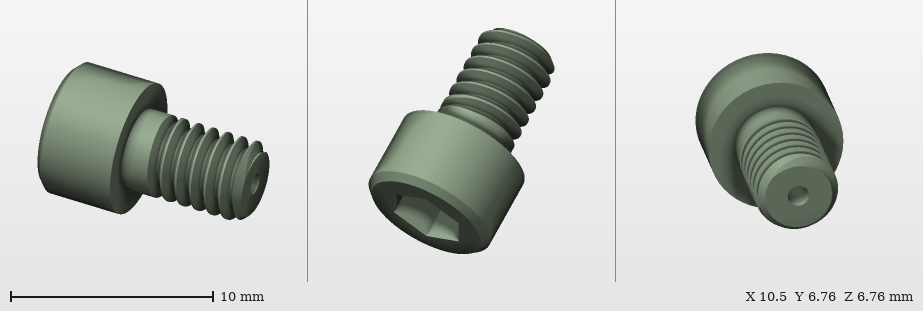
import cadquery as cq
import math

INCH = 25.4

head_diameter = 6.76
head_length = 4.11
head_chamfer = 0.355
socket_across_flats = 9 / 64 * INCH
socket_depth = 2.0

shank_radius = 0.164 * INCH / 2
shank_length = 0.25 * INCH
tip_chamfer = 0.41
vent_diameter = 1.07
screw_length = head_length + shank_length

pitch = INCH / 32
flank_slope = math.tan(math.radians(30))
thread_height = pitch / (2 * flank_slope)
groove_depth = thread_height * 17 / 24
groove_mouth = pitch * 7 / 8
root_width = groove_mouth - 2 * groove_depth * flank_slope
mouth_clearance = 0.03
plain_pitches = 2
full_depth_start = head_length + plain_pitches * pitch
full_depth_turns = round(shank_length / pitch) - plain_pitches + 1
runout_turns = 115 / 360
curve_points_per_turn = 24


def make_head():
    return (
        cq.Workplane("YZ")
        .circle(head_diameter / 2)
        .extrude(head_length)
        .faces("<X")
        .chamfer(head_chamfer)
    )


def make_shank():
    return (
        cq.Workplane("YZ")
        .workplane(offset=head_length)
        .circle(shank_radius)
        .extrude(shank_length)
        .faces(">X")
        .chamfer(tip_chamfer)
    )


def make_socket():
    """Hexagonal prism with flats facing +Y and -Y."""
    across_corners = socket_across_flats / math.cos(math.radians(30))
    return (
        cq.Workplane("YZ")
        .transformed(rotate=(0, 0, 90))
        .polygon(6, across_corners)
        .extrude(socket_depth)
    )


def make_vent():
    return cq.Workplane("YZ").circle(vent_diameter / 2).extrude(screw_length)


def groove_section(turn, depth):
    """Four corners of the groove profile, in the half-plane at the given turn from +Z."""
    angle = 2 * math.pi * turn
    center = full_depth_start + pitch * turn
    root_radius = shank_radius - depth
    mouth_radius = shank_radius + mouth_clearance
    half_root = root_width / 2
    half_mouth = half_root + (mouth_radius - root_radius) * flank_slope
    profile = [
        (-half_mouth, mouth_radius),
        (-half_root, root_radius),
        (half_root, root_radius),
        (half_mouth, mouth_radius),
    ]
    return [
        cq.Vector(center + offset, -radius * math.sin(angle), radius * math.cos(angle))
        for offset, radius in profile
    ]


def make_groove(first_turn, last_turn, first_depth, last_depth):
    """Right-hand helical cutter whose depth changes evenly from end to end."""
    steps = math.ceil((last_turn - first_turn) * curve_points_per_turn)
    sections = []
    for step in range(steps + 1):
        share = step / steps
        turn = first_turn + share * (last_turn - first_turn)
        depth = first_depth + share * (last_depth - first_depth)
        sections.append(groove_section(turn, depth))

    corner_curves = [cq.Edge.makeSpline(list(points)) for points in zip(*sections)]
    next_curves = corner_curves[1:] + corner_curves[:1]
    faces = [cq.Face.makeRuledSurface(a, b) for a, b in zip(corner_curves, next_curves)]
    for end_section in (sections[0], sections[-1]):
        faces.append(cq.Face.makeFromWires(cq.Wire.makePolygon(end_section, close=True)))
    return cq.Workplane(cq.Solid.makeSolid(cq.Shell.makeShell(faces)))


def make_threaded_shank():
    """Shank with the groove cut one turn at a time, after its rising runout."""
    shank = make_shank().cut(make_groove(-runout_turns, 0, 0, groove_depth))
    for turn in range(full_depth_turns):
        shank = shank.cut(make_groove(turn, turn + 1, groove_depth, groove_depth))
    return shank


result = make_head().union(make_threaded_shank()).cut(make_socket()).cut(make_vent())